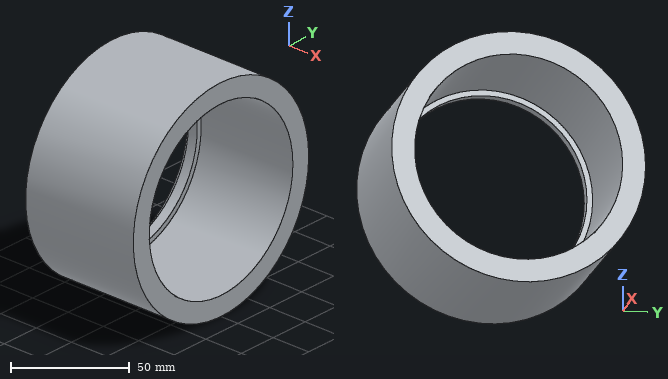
import cadquery as cq

length = 61.0
outer_diameter = 110
bore_diameter = 90.0
lip_diameter = 85.0
mouth_diameter = 93.1
mouth_depth = 4.1
lip_land = 5.1

outer_radius = outer_diameter / 2
bore_radius = bore_diameter / 2
lip_radius = lip_diameter / 2
mouth_radius = mouth_diameter / 2
front_x = -length / 2
back_x = length / 2
land_start_x = front_x + mouth_depth
land_end_x = land_start_x + lip_land

result = (
    cq.Workplane("XY")
    .moveTo(front_x, outer_radius)
    .lineTo(front_x, mouth_radius)
    .lineTo(land_start_x, lip_radius)
    .lineTo(land_end_x, lip_radius)
    .lineTo(land_end_x, bore_radius)
    .lineTo(back_x, bore_radius)
    .lineTo(back_x, outer_radius)
    .close()
    .revolve(360, (0, 0, 0), (1, 0, 0))
)